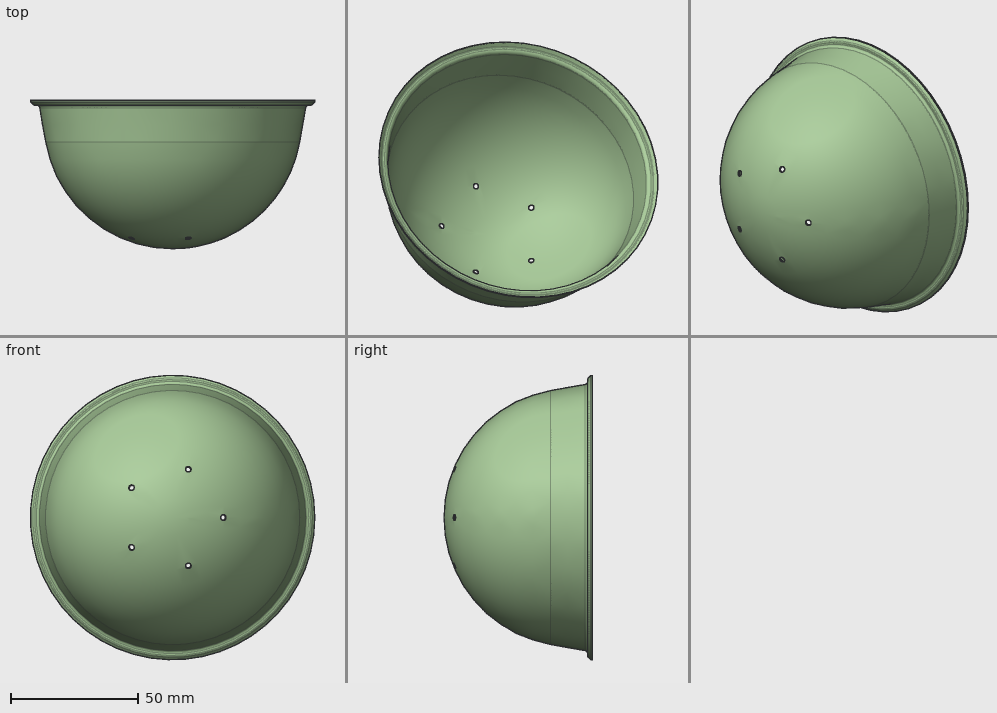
import cadquery as cq
import math

total_depth = 58.5
wall = 0.5

dome_radius = 50.8
band_taper = math.radians(10)

rim_radius = 56.0
ledge_depth = 2.0
neck_bend_radius = 1.2
flare_bend_radius = 1.0
flare_angle = math.radians(45)

hole_count = 5
hole_circle_radius = 20.0
hole_diameter = 2.0
hole_chamfer = 0.2

dome_centre = (0, dome_radius - total_depth)

neck_centre_y = -ledge_depth - neck_bend_radius
neck_centre = (
    (dome_radius + neck_bend_radius) / math.cos(band_taper)
    + (neck_centre_y - dome_centre[1]) * math.tan(band_taper),
    neck_centre_y,
)

rim_edge_height = wall / math.cos(flare_angle)
flare_centre_y = flare_bend_radius - ledge_depth
flare_centre = (
    rim_radius
    + (flare_centre_y + rim_edge_height - flare_bend_radius / math.cos(flare_angle)) / math.tan(flare_angle),
    flare_centre_y,
)


def on_arc(centre, radius, angle):
    """Point on a circle in the (radius, Y) plane, angle measured from the outward direction."""
    return centre[0] + radius * math.cos(angle), centre[1] + radius * math.sin(angle)


def skin(inset):
    """Characteristic points, from the apex to the rim, of the outer skin moved inwards by inset."""
    dome = dome_radius - inset
    neck = neck_bend_radius + inset
    flare = flare_bend_radius - inset
    down = -math.pi / 2
    up = math.pi / 2
    band_normal = -band_taper
    neck_start = math.pi - band_taper
    flare_end = down + flare_angle
    return {
        "apex": on_arc(dome_centre, dome, down),
        "dome_mid": on_arc(dome_centre, dome, (down + band_normal) / 2),
        "band_bottom": on_arc(dome_centre, dome, band_normal),
        "band_top": on_arc(neck_centre, neck, neck_start),
        "neck_mid": on_arc(neck_centre, neck, (neck_start + up) / 2),
        "ledge_inner": on_arc(neck_centre, neck, up),
        "ledge_outer": on_arc(flare_centre, flare, down),
        "flare_mid": on_arc(flare_centre, flare, (down + flare_end) / 2),
        "flare_bottom": on_arc(flare_centre, flare, flare_end),
    }


def make_bowl():
    """Revolve the wall section: up the outer skin, across the rim edge and down the inner skin."""
    outer = skin(0)
    inner = skin(wall)
    section = (
        cq.Workplane("XY")
        .moveTo(*outer["apex"])
        .threePointArc(outer["dome_mid"], outer["band_bottom"])
        .lineTo(*outer["band_top"])
        .threePointArc(outer["neck_mid"], outer["ledge_inner"])
        .lineTo(*outer["ledge_outer"])
        .threePointArc(outer["flare_mid"], outer["flare_bottom"])
        .lineTo(rim_radius, -rim_edge_height)
        .lineTo(rim_radius, 0)
        .lineTo(*inner["flare_bottom"])
        .threePointArc(inner["flare_mid"], inner["ledge_outer"])
        .lineTo(*inner["ledge_inner"])
        .threePointArc(inner["neck_mid"], inner["band_top"])
        .lineTo(*inner["band_bottom"])
        .threePointArc(inner["dome_mid"], inner["apex"])
        .close()
    )
    return section.revolve(360, (0, 0, 0), (0, 1, 0))


def make_drain_hole_cutter():
    """Stepped pin for one chamfered drain hole on the +X side, its axis passing through the dome centre."""
    hole_radius = hole_diameter / 2
    mouth_radius = hole_radius + hole_chamfer
    inner_end = dome_radius - 2 * wall
    outer_end = dome_radius + wall
    tilt_from_axis = math.degrees(math.asin(hole_circle_radius / dome_radius))
    pin = (
        cq.Workplane("XY")
        .moveTo(0, -inner_end)
        .lineTo(hole_radius, -inner_end)
        .lineTo(hole_radius, hole_chamfer - dome_radius)
        .lineTo(mouth_radius, -dome_radius)
        .lineTo(mouth_radius, -outer_end)
        .lineTo(0, -outer_end)
        .close()
        .revolve(360, (0, 0, 0), (0, 1, 0))
    )
    return pin.rotate((0, 0, 0), (0, 0, 1), tilt_from_axis).translate((*dome_centre, 0))


def cut_drain_holes(bowl):
    """Cut the ring of evenly spaced drain holes, the first one on the +X side."""
    cutter = make_drain_hole_cutter()
    for index in range(hole_count):
        bowl = bowl.cut(cutter.rotate((0, 0, 0), (0, 1, 0), index * 360 / hole_count))
    return bowl


result = cut_drain_holes(make_bowl())